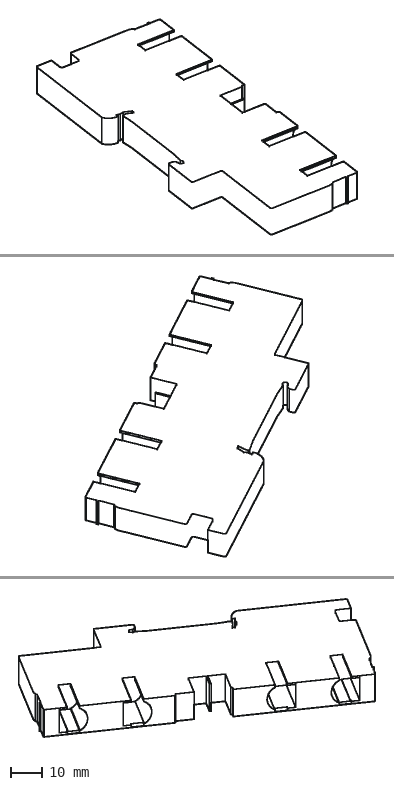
import cadquery as cq
import math

LENGTH = 110.0
HEIGHT = 48.0
THICKNESS = 10.1
MID_Z = THICKNESS / 2

NECK_INSET = 0.9
TOOTH_INSET = 0.4
NOTCH_INSET = 1.0
TOOTH_TOP = 44.0
TOOTH_BOTTOM = 43.3
NECK_BOTTOM = 38.2
SHOULDER_INSET = 0.3
SHOULDER_MID = 37.6
SHOULDER_BOTTOM = 36.4
CORNER = 0.7
EDGE_BREAK = 0.3

RECESS_LEFT = 47.7
RECESS_RIGHT = 59.8
RECESS_FLOOR = 38.1
LEAD_IN = 0.5
STEP_END = 66.0
STEP_DROP = 1.0
PIN_LEFT = 53.5
PIN_WIDTH = 0.5
PIN_TOP = 43.1

BODY_BOTTOM = 13.3
FOOT_TOP = 6.0
FOOT_NOTCH_DEPTH = 5.4
FOOT_NOTCH_RADIUS = 0.9
NOSE_START = 36.1
NOSE_TIP = 38.5
NOSE_TOP = 4.6
NOSE_MID_X = 37.8
NOSE_MID_Y = 1.8
SPRING_SLOT_LEFT = 37.5
SPRING_SLOT_RIGHT = 38.8
SPRING_SLOT_BEND = 7.4
SPRING_SLOT_TOP_LEFT = 38.6
SPRING_SLOT_TOP_RIGHT = 39.6
BARB_DEPTH = 0.3
BARB_Y = 5.8
SPRING_SLOT_TOP = 10.0
SEAT_PAD = 5.9
SEAT = 6.4
SEAT_START = 43.5
SEAT_END = 66.5
HOOK_LEFT = 69.8
HOOK_RAMP_BOTTOM = 3.6
HOOK_RAMP_TOP = 70.8
HOOK_NOTCH_X = 71.5
HOOK_NOTCH_RADIUS = 0.9
HOOK_NOTCH_Y = SEAT - HOOK_NOTCH_RADIUS
RIGHT_FOOT_RIGHT = 83.0
RIGHT_FOOT_BOTTOM = 1.6

OUTER_SLOT_CENTER = 10.7
INNER_SLOT_CENTER = 31.6
SLOT_MIRROR_X = LENGTH / 2
SLOT_WIDTH = 4.1
POCKET_BOTTOM = 33.8
POCKET_RADIUS = 4.6
POCKET_SKIN = 0.7
POCKET_FLOOR = 1.0
FLOOR_CHAMFER = 0.8
FLOOR_LEDGE = 0.3
FLOOR_STEP = 0.2


def end_wall_points():
    """Left end wall from the shoulder up to the top edge, as (inset from the end, height)."""
    return [
        (0, SHOULDER_BOTTOM),
        (SHOULDER_INSET, SHOULDER_MID),
        (NECK_INSET, NECK_BOTTOM),
        (NOTCH_INSET, TOOTH_BOTTOM),
        (TOOTH_INSET, TOOTH_BOTTOM),
        (TOOTH_INSET, TOOTH_TOP),
        (NECK_INSET, TOOTH_TOP),
        (NECK_INSET, HEIGHT - EDGE_BREAK),
        (NECK_INSET + EDGE_BREAK, HEIGHT),
    ]


def top_edge_points():
    """Top edge from left to right: lead-in, recess with the pin, and the low step."""
    lead_in_x = RECESS_LEFT - LEAD_IN
    lead_in_y = HEIGHT - STEP_DROP
    return [
        (lead_in_x, HEIGHT),
        (lead_in_x, lead_in_y),
        (RECESS_LEFT, lead_in_y - LEAD_IN),
        (RECESS_LEFT, RECESS_FLOOR),
        (PIN_LEFT, RECESS_FLOOR),
        (PIN_LEFT, PIN_TOP),
        (PIN_LEFT + PIN_WIDTH, PIN_TOP),
        (PIN_LEFT + PIN_WIDTH, RECESS_FLOOR),
        (RECESS_RIGHT, RECESS_FLOOR),
        (RECESS_RIGHT, HEIGHT - STEP_DROP),
        (STEP_END, HEIGHT - STEP_DROP),
        (STEP_END, HEIGHT - EDGE_BREAK),
        (STEP_END + EDGE_BREAK, HEIGHT),
    ]


def housing():
    """Extruded outline of the housing, drawn clockwise from the lower left corner."""
    left_end = end_wall_points()
    right_end = [(LENGTH - inset, y) for inset, y in reversed(left_end)]

    outline = cq.Workplane("XY").moveTo(CORNER, 0).radiusArc((0, CORNER), CORNER)
    outline = (
        outline.lineTo(0, FOOT_TOP)
        .lineTo(FOOT_NOTCH_DEPTH - FOOT_NOTCH_RADIUS, FOOT_TOP)
        .radiusArc((FOOT_NOTCH_DEPTH, FOOT_TOP + FOOT_NOTCH_RADIUS), -FOOT_NOTCH_RADIUS)
        .lineTo(FOOT_NOTCH_DEPTH, BODY_BOTTOM - CORNER)
        .radiusArc((FOOT_NOTCH_DEPTH - CORNER, BODY_BOTTOM), -CORNER)
        .lineTo(CORNER, BODY_BOTTOM)
        .radiusArc((0, BODY_BOTTOM + CORNER), CORNER)
    )
    for point in left_end + top_edge_points() + right_end:
        outline = outline.lineTo(*point)
    outline = (
        outline.lineTo(LENGTH, BODY_BOTTOM + CORNER)
        .radiusArc((LENGTH - CORNER, BODY_BOTTOM), CORNER)
        .lineTo(RIGHT_FOOT_RIGHT + EDGE_BREAK, BODY_BOTTOM)
        .radiusArc((RIGHT_FOOT_RIGHT, BODY_BOTTOM - EDGE_BREAK), -EDGE_BREAK)
        .lineTo(RIGHT_FOOT_RIGHT, RIGHT_FOOT_BOTTOM + EDGE_BREAK)
        .radiusArc((RIGHT_FOOT_RIGHT - EDGE_BREAK, RIGHT_FOOT_BOTTOM), EDGE_BREAK)
        .lineTo(HOOK_LEFT + CORNER, RIGHT_FOOT_BOTTOM)
        .radiusArc((HOOK_LEFT, RIGHT_FOOT_BOTTOM + CORNER), CORNER)
    )
    hook_top = HOOK_NOTCH_Y - HOOK_NOTCH_RADIUS
    hook_pad_end = HOOK_NOTCH_X - math.sqrt(HOOK_NOTCH_RADIUS**2 - (SEAT_PAD - HOOK_NOTCH_Y) ** 2)
    outline = (
        outline.lineTo(HOOK_LEFT, HOOK_RAMP_BOTTOM)
        .lineTo(HOOK_RAMP_TOP, hook_top)
        .lineTo(HOOK_NOTCH_X, hook_top)
        .threePointArc((HOOK_NOTCH_X + HOOK_NOTCH_RADIUS, HOOK_NOTCH_Y), (hook_pad_end, SEAT_PAD))
        .lineTo(SEAT_END, SEAT)
        .lineTo(SEAT_START, SEAT)
        .lineTo(SPRING_SLOT_RIGHT + EDGE_BREAK, SEAT_PAD)
        .lineTo(SPRING_SLOT_RIGHT, SEAT_PAD + EDGE_BREAK)
    )
    outline = (
        outline.lineTo(SPRING_SLOT_RIGHT, SPRING_SLOT_BEND)
        .lineTo(SPRING_SLOT_TOP_RIGHT, SPRING_SLOT_TOP)
        .lineTo(SPRING_SLOT_TOP_LEFT, SPRING_SLOT_TOP)
        .lineTo(SPRING_SLOT_LEFT, SPRING_SLOT_BEND)
        .lineTo(SPRING_SLOT_LEFT + BARB_DEPTH, BARB_Y)
        .lineTo(SPRING_SLOT_LEFT, NOSE_TOP)
        .lineTo(NOSE_TIP, NOSE_TOP)
        .threePointArc((NOSE_MID_X, NOSE_MID_Y), (NOSE_START, 0))
        .close()
    )
    return outline.extrude(THICKNESS)


def conductor_pocket(center, outer):
    """Cutter for one pocket of the left half: flat on its left side, round on its right side."""
    depth = HEIGHT - POCKET_BOTTOM
    slot_left = center - SLOT_WIDTH / 2
    pocket_height = THICKNESS - POCKET_SKIN - POCKET_FLOOR
    bore_box = cq.Workplane("XY").box(
        2 * POCKET_RADIUS, depth, pocket_height, centered=(True, False, False)
    )
    bore_box = bore_box.translate((center, POCKET_BOTTOM, POCKET_FLOOR))
    round_side = (
        cq.Workplane("XZ", origin=(center, HEIGHT, MID_Z))
        .circle(POCKET_RADIUS)
        .extrude(depth)
    )
    flat_side = bore_box.translate((-POCKET_RADIUS, 0, 0))
    pocket = bore_box.intersect(round_side.union(flat_side))

    slot = cq.Workplane("XY").box(SLOT_WIDTH, depth, MID_Z, centered=(True, False, False))
    pocket = pocket.union(slot.translate((center, POCKET_BOTTOM, MID_Z)))

    chamfer = (
        cq.Workplane("YZ", origin=(slot_left, 0, 0))
        .moveTo(HEIGHT, POCKET_FLOOR)
        .lineTo(HEIGHT - FLOOR_CHAMFER, POCKET_FLOOR)
        .lineTo(HEIGHT, POCKET_FLOOR - FLOOR_CHAMFER)
        .close()
        .extrude(SLOT_WIDTH)
    )
    pocket = pocket.union(chamfer)

    if outer:
        low_floor = cq.Workplane("XY").box(
            SLOT_WIDTH - FLOOR_LEDGE, depth, FLOOR_STEP, centered=False
        )
        low_floor = low_floor.translate(
            (slot_left + FLOOR_LEDGE, POCKET_BOTTOM, POCKET_FLOOR - FLOOR_STEP)
        )
        pocket = pocket.union(low_floor)
    return pocket


result = housing()
for slot_center, is_outer in ((OUTER_SLOT_CENTER, True), (INNER_SLOT_CENTER, False)):
    left_pocket = conductor_pocket(slot_center, is_outer)
    right_pocket = left_pocket.mirror("YZ", (SLOT_MIRROR_X, 0, 0))
    result = result.cut(left_pocket).cut(right_pocket)